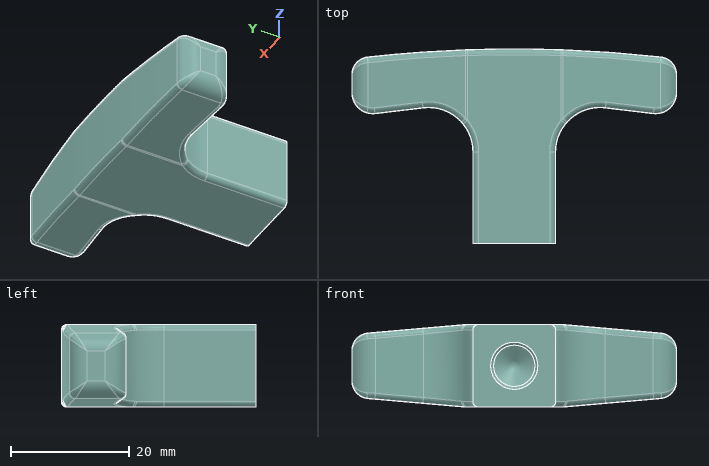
import cadquery as cq
import math

half_span = 27.5
total_length = 33.0
thickness = 14.0
half_thickness = thickness / 2
stem_half_width = thickness / 2

shoulder_x = 24.75
shoulder_y = 31.6
inner_radius = 7.5
inner_start_y = 15.55
arm_slope = math.radians(6.8)
back_corner_radius = 3.0
front_corner_radius = 3.6

taper_start_x = 8.1
taper_angle = math.radians(5.0)
crease_radius = 3.85
end_radius = 3.0

edge_radius = 1.0

hole_diameter = 7.0
mouth_diameter = 8.0
hole_depth = 14.85
drill_tip_angle = math.radians(118.0)

overrun = 1.1
pick_margin = 0.55


def edges_within(x_reach, y_min, y_max):
    """Pick edges whose centre has |X| up to x_reach and Y in the range, at any Z of the part."""
    x_limit = x_reach + pick_margin
    z_limit = half_thickness + pick_margin
    return cq.selectors.BoxSelector((-x_limit, y_min, -z_limit), (x_limit, y_max, z_limit))


def plan_plate():
    """T-shaped plate with a curved back and rounded arm corners."""
    back_drop = total_length - shoulder_y
    back_radius = (shoulder_x ** 2 + back_drop ** 2) / (2 * back_drop)
    back_end_y = total_length - back_radius + math.sqrt(back_radius ** 2 - half_span ** 2)

    inner_centre_x = stem_half_width + inner_radius
    inner_end_angle = math.pi / 2 - arm_slope
    inner_mid_angle = (math.pi + inner_end_angle) / 2
    inner_mid_x = inner_centre_x + inner_radius * math.cos(inner_mid_angle)
    inner_mid_y = inner_start_y + inner_radius * math.sin(inner_mid_angle)
    inner_end_x = inner_centre_x + inner_radius * math.cos(inner_end_angle)
    inner_end_y = inner_start_y + inner_radius * math.sin(inner_end_angle)
    tip_y = inner_end_y - (half_span - inner_end_x) * math.tan(arm_slope)

    plate = (
        cq.Workplane("XY", origin=(0, 0, -half_thickness))
        .moveTo(stem_half_width, 0)
        .lineTo(stem_half_width, inner_start_y)
        .threePointArc((inner_mid_x, inner_mid_y), (inner_end_x, inner_end_y))
        .lineTo(half_span, tip_y)
        .lineTo(half_span, back_end_y)
        .threePointArc((0, total_length), (-half_span, back_end_y))
        .lineTo(-half_span, tip_y)
        .lineTo(-inner_end_x, inner_end_y)
        .threePointArc((-inner_mid_x, inner_mid_y), (-stem_half_width, inner_start_y))
        .lineTo(-stem_half_width, 0)
        .close()
        .extrude(thickness)
    )
    for corner_y, radius in ((back_end_y, back_corner_radius), (tip_y, front_corner_radius)):
        corners = edges_within(half_span, corner_y - pick_margin, corner_y + pick_margin)
        plate = plate.edges("|Z").edges(corners).fillet(radius)
    return plate


def taper_envelope():
    """Prism along Y: full thickness over the stem, tapering to rounded arm ends."""
    end_half_height = half_thickness - (half_span - taper_start_x) * math.tan(taper_angle)
    flat_end_x = taper_start_x - crease_radius * math.tan(taper_angle / 2)

    def crease_point(angle):
        return (
            flat_end_x + crease_radius * math.sin(angle),
            half_thickness - crease_radius * (1 - math.cos(angle)),
        )

    quarter = (
        cq.Workplane("XZ", origin=(0, total_length + overrun, 0))
        .lineTo(0, half_thickness)
        .lineTo(flat_end_x, half_thickness)
        .threePointArc(crease_point(taper_angle / 2), crease_point(taper_angle))
        .lineTo(half_span, end_half_height)
        .lineTo(half_span, 0)
        .close()
        .extrude(total_length + 2 * overrun)
    )
    end_edge = cq.selectors.NearestToPointSelector((half_span, total_length / 2, end_half_height))
    quarter = quarter.edges(end_edge).fillet(end_radius)
    upper_half = quarter.union(quarter.mirror("YZ"))
    return upper_half.union(upper_half.mirror("XY")).clean()


def round_long_edges(body):
    """Round the stem edges and the back edges; the rounding follows the tangent outline."""
    stem_edges = edges_within(stem_half_width, pick_margin, inner_start_y)
    back_edges = edges_within(0, total_length - pick_margin, total_length + pick_margin)
    return body.edges(stem_edges + back_edges).fillet(edge_radius)


def hole_cutter():
    """Drilled blind hole with a 45 degree countersink, along +Y from the stem end."""
    radius = hole_diameter / 2
    mouth_radius = mouth_diameter / 2
    tip_length = radius / math.tan(drill_tip_angle / 2)
    return (
        cq.Workplane("XY")
        .lineTo(mouth_radius, 0)
        .lineTo(radius, mouth_radius - radius)
        .lineTo(radius, hole_depth)
        .lineTo(0, hole_depth + tip_length)
        .close()
        .revolve(360, (0, 0, 0), (0, 1, 0))
    )


handle = plan_plate().intersect(taper_envelope())
result = round_long_edges(handle).cut(hole_cutter())